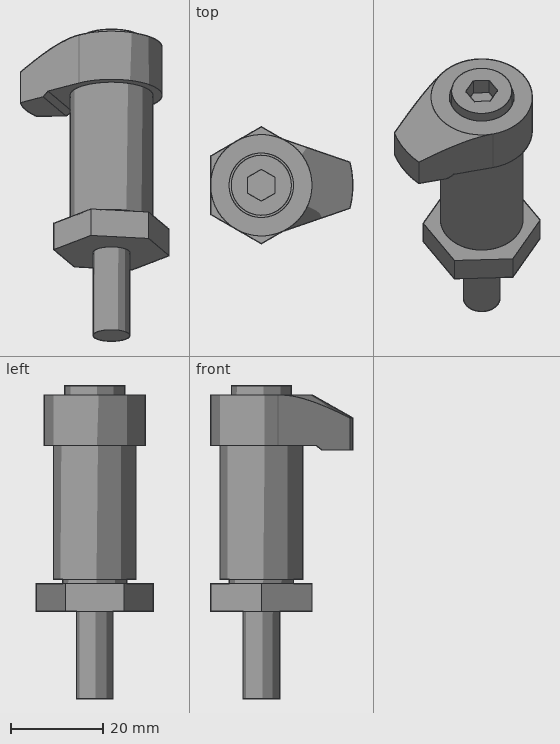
import cadquery as cq
import math

total_height = 68.0
base_bottom = 19.0
base_top = 25.0
sleeve_bottom = 25.9
head_bottom = 55.0
head_top = 66.0

head_radius = 11.0
sleeve_radius = 9.01
counterbore_radius = 7.0
nose_reach = 19.9
nose_tip_top = 61.0
nose_side_angle = 19.0
lip_drop = 1.0
lip_ramp_start = 11.9
lip_start = 13.2

shank_radius = 4.0
screw_head_radius = 6.5
screw_head_height = 8.0
socket_across_flats = 6.0
socket_depth = 4.0
screw_seat = total_height - screw_head_height

base_across_flats = 2 * head_radius
collar_radius = 7.0


def cylinder(radius, bottom, top):
    return cq.Workplane("XY").workplane(offset=bottom).circle(radius).extrude(top - bottom)


def hexagon(across_flats, bottom, top):
    """Hexagonal prism with two corners on the Y axis."""
    corner_diameter = across_flats / math.cos(math.pi / 6)
    return (
        cq.Workplane("XY").polygon(6, corner_diameter).extrude(top - bottom)
        .rotate((0, 0, 0), (0, 0, 1), 30)
        .translate((0, 0, bottom))
    )


def make_nose():
    """Tapered nose: sides tangent to the head, conical top, round tip and a lip below."""
    angle = math.radians(nose_side_angle)
    tangent_x = head_radius * math.sin(angle)
    tangent_y = head_radius * math.cos(angle)
    side_length = math.sqrt(nose_reach**2 - head_radius**2)
    tip_x = tangent_x + side_length * math.cos(angle)
    tip_y = tangent_y - side_length * math.sin(angle)
    lip_bottom = head_bottom - lip_drop

    plan = (
        cq.Workplane("XY").workplane(offset=lip_bottom)
        .moveTo(0, 0)
        .lineTo(tangent_x, tangent_y)
        .lineTo(tip_x, tip_y)
        .threePointArc((nose_reach, 0), (tip_x, -tip_y))
        .lineTo(tangent_x, -tangent_y)
        .close()
        .extrude(head_top - lip_bottom)
    )
    conical_top = (
        cq.Workplane("XZ")
        .polyline([
            (0, lip_bottom),
            (nose_reach, lip_bottom),
            (nose_reach, nose_tip_top),
            (head_radius, head_top),
            (0, head_top),
        ])
        .close()
        .revolve(360, (0, 0, 0), (0, 1, 0))
    )
    lip_relief = (
        cq.Workplane("XZ")
        .polyline([
            (0, lip_bottom),
            (lip_start, lip_bottom),
            (lip_ramp_start, head_bottom),
            (0, head_bottom),
        ])
        .close()
        .extrude(head_radius, both=True)
    )
    return plan.intersect(conical_top).cut(lip_relief)


def make_clamp():
    """Round head with nose, on a sleeve bored and counterbored for the screw."""
    head = cylinder(head_radius, head_bottom, head_top)
    sleeve = cylinder(sleeve_radius, sleeve_bottom, head_bottom)
    bore = cylinder(shank_radius, sleeve_bottom, head_top)
    counterbore = cylinder(counterbore_radius, screw_seat, head_top)
    return head.union(make_nose()).union(sleeve).cut(bore).cut(counterbore)


def make_screw():
    """Socket head screw running through the clamp and the base."""
    shank = cylinder(shank_radius, 0, screw_seat)
    head = cylinder(screw_head_radius, screw_seat, total_height)
    socket = hexagon(socket_across_flats, total_height - socket_depth, total_height)
    return shank.union(head).cut(socket)


def make_base():
    """Hexagonal base with a short round collar that carries the sleeve."""
    hex_plate = hexagon(base_across_flats, base_bottom, base_top)
    collar = cylinder(collar_radius, base_top, sleeve_bottom)
    bore = cylinder(shank_radius, base_bottom, sleeve_bottom)
    return hex_plate.union(collar).cut(bore)


clamp = make_clamp()
screw = make_screw()
base = make_base()

result = cq.Compound.makeCompound([clamp.val(), screw.val(), base.val()])